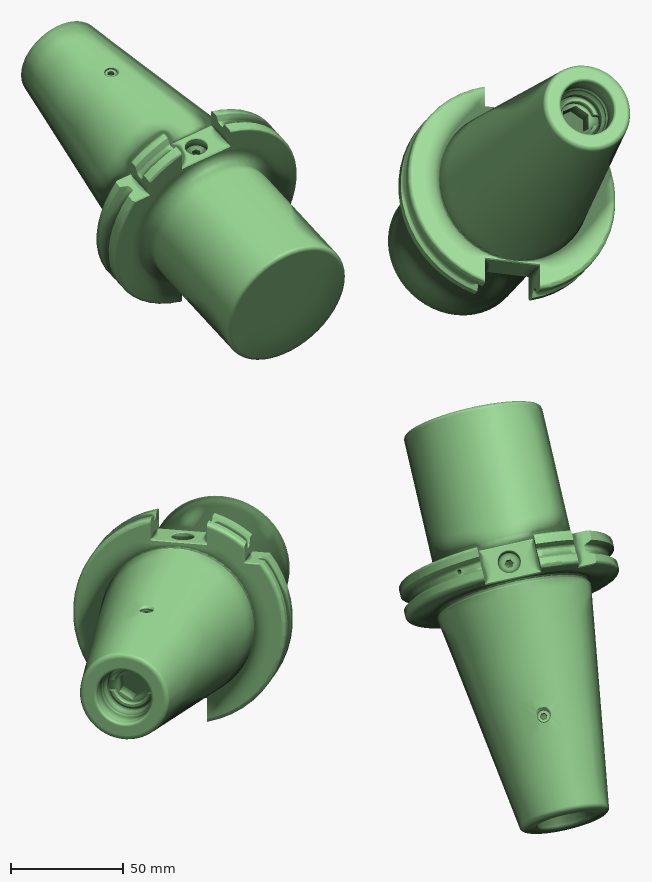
import cadquery as cq
import math

total_length = 186.8

taper_slope = 7 / 48
taper_end_radius = 20.2
taper_end_fillet = 2.2
taper_length = 102.5

neck_radius = 34.4
neck_bevel = 0.7
neck_fillet = 0.7

flange_start = 105.0
flange_width = 15.9
flange_radius = 48.7
flange_front_fillet = 1.9
flange_back_fillet = 1.3

groove_offset = 7.8
groove_mouth = 6.7
groove_depth = 3.0
groove_half_angle = 30.0
groove_root_fillet = 1.1

shank_radius = 31.5
shank_blend = 4.7
shank_end_fillet = 1.9

slot_width = 25.8
upper_slot_floor = 37.4
lower_slot_floor = 35.5
notch_corner = 30.0
edge_bevel = 0.47
cut_margin = 1.9

index_hole_diameter = 2.5
index_hole_depth = 3.7
index_hole_angle = 30.0

bore_radius = 12.5
bore_mouth_fillet = 1.3
bore_depth = 9.3
bore_step = 0.5
bore_land_length = 1.3
thread_lead_in = 1.3
plug_start = 14.0
plug_length = 18.7
plug_bevel = 1.3
plug_recess_bevel = 0.4
plug_recess_radius = 7.8
plug_recess_depth = 2.8
plug_slot_width = 5.2
plug_hex_flats = 12.0
plug_hex_depth = 7.5

flange_screw_radius = 5.0
flange_screw_bevel = 0.5
flange_hole_bevel = 0.28
flange_screw_sink = 3.7
flange_screw_length = 7.5
flange_screw_hex = 3.5
flange_screw_hex_depth = 2.8

taper_screw_x = 43.3
taper_screw_radius = 3.0
taper_screw_bevel = 0.5
taper_screw_sink = 1.1
taper_screw_length = 5.6
taper_screw_hex = 3.0
taper_screw_hex_depth = 2.2

flange_end = flange_start + flange_width
groove_centre = flange_start + groove_offset
groove_root_radius = flange_radius - groove_depth
taper_big_radius = taper_end_radius + taper_slope * taper_length
taper_surface_z = taper_end_radius + taper_slope * taper_screw_x
land_radius = bore_radius - bore_step
thread_radius = land_radius - thread_lead_in
arc_mid = math.sqrt(0.5)


def revolve_about_x(profile):
    return profile.close().revolve(360, (0, 0, 0), (1, 0, 0))


def holder_blank():
    """Taper, neck, flange and shank turned as one piece."""
    neck_start = taper_length + neck_bevel
    blend_top = shank_radius + shank_blend
    blend_end = flange_end + shank_blend
    profile = (
        cq.Workplane("XY")
        .moveTo(0, 0)
        .lineTo(0, taper_end_radius)
        .lineTo(taper_length, taper_big_radius)
        .lineTo(neck_start, neck_radius)
        .lineTo(flange_start - neck_fillet, neck_radius)
        .threePointArc(
            (flange_start - neck_fillet * (1 - arc_mid), neck_radius + neck_fillet * (1 - arc_mid)),
            (flange_start, neck_radius + neck_fillet),
        )
        .lineTo(flange_start, flange_radius)
        .lineTo(flange_end, flange_radius)
        .lineTo(flange_end, blend_top)
        .threePointArc(
            (blend_end - shank_blend * arc_mid, blend_top - shank_blend * arc_mid),
            (blend_end, shank_radius),
        )
        .lineTo(total_length, shank_radius)
        .lineTo(total_length, 0)
    )
    blank = revolve_about_x(profile)
    blank = blank.faces("<X").edges().fillet(taper_end_fillet)
    blank = blank.faces(">X").edges().fillet(shank_end_fillet)
    rim = cq.selectors.RadiusNthSelector(-1)
    blank = blank.edges(rim).edges("<X").fillet(flange_front_fillet)
    return blank.edges(rim).edges(">X").fillet(flange_back_fillet)


def gripper_groove():
    """Ring that cuts the V-groove with a rounded root."""
    flank_slope = math.tan(math.radians(groove_half_angle))
    half_mouth = groove_mouth / 2
    half_root = half_mouth - groove_depth * flank_slope
    half_outer = half_mouth + cut_margin * flank_slope
    outer_radius = flange_radius + cut_margin
    profile = (
        cq.Workplane("XY")
        .moveTo(groove_centre - half_root, groove_root_radius)
        .lineTo(groove_centre + half_root, groove_root_radius)
        .lineTo(groove_centre + half_outer, outer_radius)
        .lineTo(groove_centre - half_outer, outer_radius)
    )
    ring = revolve_about_x(profile)
    return ring.edges(cq.selectors.RadiusNthSelector(0)).fillet(groove_root_fillet)


def beveled_cut(plane, floor):
    """Outline, across the flange, of a cut whose floor has beveled front and back edges."""
    return (
        cq.Workplane(plane)
        .moveTo(flange_start - cut_margin, floor - edge_bevel)
        .lineTo(flange_start, floor - edge_bevel)
        .lineTo(flange_start + edge_bevel, floor)
        .lineTo(flange_end - edge_bevel, floor)
        .lineTo(flange_end, floor - edge_bevel)
        .lineTo(flange_end + cut_margin, floor - edge_bevel)
        .lineTo(flange_end + cut_margin, flange_radius + cut_margin)
        .lineTo(flange_start - cut_margin, flange_radius + cut_margin)
        .close()
    )


def drive_slot(floor):
    return beveled_cut("XZ", floor).extrude(slot_width / 2, both=True)


def corner_notch():
    """Step cut from the flange rim on the -Y, +Z side."""
    floor_cut = beveled_cut("XZ", notch_corner).extrude(flange_radius)
    floor_cut = floor_cut.intersect(
        cq.Workplane("XY")
        .box(total_length, flange_radius, 2 * flange_radius, centered=(False, False, True))
        .translate((0, -notch_corner - flange_radius, 0))
    )
    wall_cut = (
        beveled_cut("XY", notch_corner)
        .extrude(flange_radius)
        .mirror("XZ")
        .translate((0, 0, notch_corner))
    )
    return floor_cut.union(wall_cut)


def index_hole():
    """Blind radial hole in the root of the gripper groove."""
    hole = (
        cq.Workplane("XY", origin=(groove_centre, 0, groove_root_radius - index_hole_depth))
        .circle(index_hole_diameter / 2)
        .extrude(index_hole_depth + groove_depth)
    )
    return hole.rotate((0, 0, 0), (1, 0, 0), -index_hole_angle)


def axial_bore():
    """Pilot bore, land, lead-in cone and thread bore, ending where the plug ends."""
    land_start = bore_depth + bore_step
    land_end = land_start + bore_land_length
    profile = (
        cq.Workplane("XY")
        .moveTo(0, 0)
        .lineTo(0, bore_radius + bore_mouth_fillet)
        .threePointArc(
            (bore_mouth_fillet * (1 - arc_mid), bore_radius + bore_mouth_fillet * (1 - arc_mid)),
            (bore_mouth_fillet, bore_radius),
        )
        .lineTo(bore_depth, bore_radius)
        .lineTo(land_start, land_radius)
        .lineTo(land_end, land_radius)
        .lineTo(land_end + thread_lead_in, thread_radius)
        .lineTo(plug_start + plug_length, thread_radius)
        .lineTo(plug_start + plug_length, 0)
    )
    return revolve_about_x(profile)


def screw_hole(x, surface_z, radius, bevel, depth):
    """Blind hole from above with a beveled mouth."""
    hole = cq.Workplane("XY", origin=(x, 0, surface_z - depth)).circle(radius).extrude(depth + cut_margin)
    mouth = (
        cq.Workplane("XY", origin=(x, 0, surface_z - bevel))
        .circle(radius)
        .workplane(offset=2 * bevel)
        .circle(radius + 2 * bevel)
        .loft()
    )
    return hole.union(mouth)


def set_screw(x, top_z, radius, bevel, length, hex_flats, hex_depth):
    """Headless screw with a hexagon socket."""
    screw = cq.Workplane("XY", origin=(x, 0, top_z - length)).circle(radius).extrude(length)
    screw = screw.faces(">Z").edges().chamfer(bevel)
    hex_corners = hex_flats / math.cos(math.pi / 6)
    socket = (
        cq.Workplane("XY", origin=(x, 0, top_z))
        .transformed(rotate=(0, 0, 90))
        .polygon(6, hex_corners)
        .extrude(-hex_depth)
    )
    return screw.cut(socket)


def drill_point(x, base_z, base_radius):
    """Cone pointing down that a drill leaves below a socket."""
    height = base_radius / 2
    cone = cq.Solid.makeCone(base_radius, 0, height, pnt=cq.Vector(x, 0, base_z), dir=cq.Vector(0, 0, -1))
    return cq.Workplane(cone)


def make_holder():
    holder = holder_blank()
    holder = holder.cut(gripper_groove())
    holder = holder.cut(drive_slot(upper_slot_floor))
    holder = holder.cut(drive_slot(lower_slot_floor).mirror("XY"))
    holder = holder.cut(corner_notch())
    holder = holder.cut(index_hole())
    holder = holder.cut(axial_bore())
    flange_hole_depth = flange_screw_sink + flange_screw_length
    holder = holder.cut(
        screw_hole(groove_centre, upper_slot_floor, flange_screw_radius, flange_hole_bevel, flange_hole_depth)
    )
    taper_hole_depth = taper_screw_sink + taper_screw_length
    return holder.cut(
        screw_hole(taper_screw_x, taper_surface_z, taper_screw_radius, taper_screw_bevel, taper_hole_depth)
    )


def make_bore_plug():
    """Threaded plug with a round recess, a cross slot and a hexagon socket."""
    plug = cq.Workplane("YZ", origin=(plug_start, 0, 0)).circle(thread_radius).extrude(plug_length)
    plug = plug.faces("<X").edges().chamfer(plug_bevel)
    face = cq.Workplane("YZ", origin=(plug_start, 0, 0))
    recess = face.circle(plug_recess_radius).extrude(plug_recess_depth)
    slot = face.rect(2 * bore_radius, plug_slot_width).extrude(plug_recess_depth)
    hex_corners = plug_hex_flats / math.cos(math.pi / 6)
    socket = (
        face.transformed(rotate=(0, 0, 90))
        .polygon(6, hex_corners)
        .extrude(plug_recess_depth + plug_hex_depth)
    )
    plug = plug.cut(recess)
    plug = plug.faces("<X").edges(cq.selectors.RadiusNthSelector(0)).chamfer(plug_recess_bevel)
    return plug.cut(slot).cut(socket)


holder = make_holder()
bore_plug = make_bore_plug()
flange_screw_top = upper_slot_floor - flange_screw_sink
flange_screw = set_screw(
    groove_centre,
    flange_screw_top,
    flange_screw_radius,
    flange_screw_bevel,
    flange_screw_length,
    flange_screw_hex,
    flange_screw_hex_depth,
)
flange_screw = flange_screw.cut(
    drill_point(groove_centre, flange_screw_top - flange_screw_hex_depth, flange_screw_hex / 2)
)
taper_screw = set_screw(
    taper_screw_x,
    taper_surface_z - taper_screw_sink,
    taper_screw_radius,
    taper_screw_bevel,
    taper_screw_length,
    taper_screw_hex,
    taper_screw_hex_depth,
)

result = cq.Compound.makeCompound([holder.val(), bore_plug.val(), flange_screw.val(), taper_screw.val()])